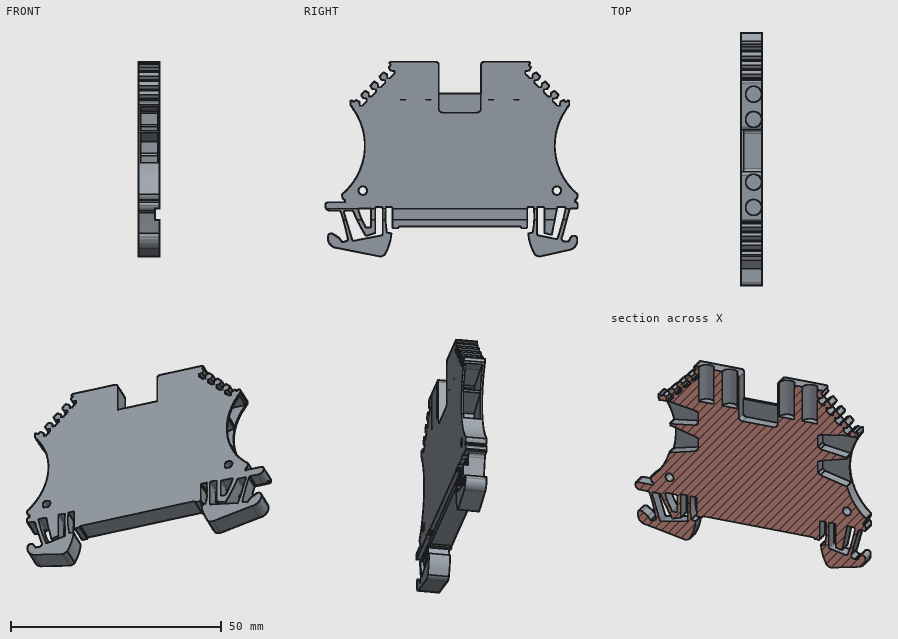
import cadquery as cq
import math

SIDES = (1, -1)

width = 5.1
height = 46.25

shelf_z = 11.75
base_z = 7.1
pad_depth = 0.35
pad_inner, pad_outer = 14.4, 16.0
edge_break = 0.25

waist_u, waist_z = 37.6, 26.35
waist_radius = 15.05
waist_top_u = 25.45
lug_u = 28.0
lug_root_u, lug_root_z = 27.3, 13.4
lip_u, lip_z_low, lip_z_high = 26.0, 36.0, 36.8

shoulder_sum = 61.85
shoulder_top_u, shoulder_bottom_u = 16.4, 25.15
comb_pitch = 2.18
comb_count = 4
first_groove_u = 17.5
groove_section = ((0, 1.4), (1.55, 1.0), (2.7, 1.9), (3.4, 1.2))

slot_half = 5.0
slot_bottom = 38.75
slot_edge_radius = 0.8
pocket_wall = 0.65
pocket_bottom = 34.2
pocket_radius = 0.85

screw_positions = (7.45, 13.45)
screw_x = 3.05
screw_radius = 1.89
screw_depth = 9.0
pin_u, pin_z, pin_diameter = 23.05, 15.65, 2.0

funnel_x = (0.55, 4.6)
funnel_mouth_u = 22.8
funnel_neck_u = 16.2
funnel_end_u = 15.6
funnel_heights = (
    ((29.9, 35.5), (30.8, 34.45), (31.25, 34.1)),
    ((22.3, 29.35), (23.95, 27.6), (24.5, 27.3)),
)

rear_groove_depth = 1.1
rear_groove_z = (8.7, 11.4)
rear_groove_reach = 36.0

clip_fillet = 0.3
leg_u = 17.5
channel_inner_u = 18.35
tongue_u = 20.05
channel_floor_z = 5.1
tongue_tip_z = 5.6


def slab(outline, side):
    """Extrude a closed (u, z) outline over the width; a pair of points is an arc (via, end)."""
    def place(point):
        return (side * point[0], point[1])

    wire = cq.Workplane("YZ").moveTo(*place(outline[0]))
    for step in outline[1:]:
        if isinstance(step[0], tuple):
            wire = wire.threePointArc(place(step[0]), place(step[1]))
        else:
            wire = wire.lineTo(*place(step))
    return wire.close().extrude(width)


def rounded_slab(outline, side):
    """Slab with all its corners rounded, used for the openings in the clips."""
    return slab(outline, side).edges("|X").fillet(clip_fillet)


def block(x_range, y_range, z_range):
    """Box given by its limits along the three axes."""
    ranges = (x_range, y_range, z_range)
    lengths = [high - low for low, high in ranges]
    corner = tuple(low for low, high in ranges)
    return cq.Workplane("XY").box(*lengths, centered=False).translate(corner)


def waist_height(u, direction):
    """Height of the waist arc at u, above (+1) or below (-1) the arc centre."""
    return waist_z + direction * math.sqrt(waist_radius**2 - (waist_u - u) ** 2)


def housing_half(side):
    """Half of the housing plate, from the mid-plane out to the waist and its lug."""
    pad_z = base_z - pad_depth
    underside = [
        (0, base_z),
        (pad_inner, base_z),
        (pad_inner + edge_break, pad_z),
        (pad_outer - edge_break, pad_z),
        (pad_outer, pad_z + edge_break),
        (pad_outer, shelf_z - edge_break),
        (pad_outer + edge_break, shelf_z),
        (lug_root_u, shelf_z),
    ]
    lug = [
        (lug_root_u, lug_root_z),
        (27.6, 13.5),
        ((27.85, 13.9), (lug_u, waist_height(lug_u, -1))),
    ]
    waist_throat = (waist_u - waist_radius, waist_z)
    waist_end = (waist_top_u, waist_height(waist_top_u, 1))
    waist = [(waist_throat, waist_end)]
    lip_mid_u = (shoulder_bottom_u + lip_u) / 2
    lip = [
        (lip_u, lip_z_low),
        (lip_u, lip_z_high),
        ((lip_u - edge_break / 2, lip_z_high + edge_break), (lip_mid_u, lip_z_high + edge_break)),
        (shoulder_bottom_u, shoulder_sum - shoulder_bottom_u),
    ]
    top = [
        (shoulder_top_u, shoulder_sum - shoulder_top_u),
        (16.75, 45.85),
        ((16.55, 46.15), (16.2, height)),
        (0, height),
    ]
    return slab(underside + lug + waist + lip + top, side)


def comb_groove(side, index):
    """Groove sunk square to the shoulder face, wider below its neck."""
    mouth_u = first_groove_u + index * comb_pitch
    mouth_z = shoulder_sum - mouth_u
    diagonal = math.sqrt(0.18)

    def point(depth, offset):
        """Point at a depth below the shoulder face and an offset down along it."""
        return (mouth_u + (offset - depth) * diagonal, mouth_z - (offset + depth) * diagonal)

    upper_flank = [point(depth, -half) for depth, half in groove_section]
    lower_flank = [point(depth, half) for depth, half in reversed(groove_section)]
    mouth_half = groove_section[0][1]
    clearance = [point(-1, mouth_half), point(-1, -mouth_half)]
    return slab(upper_flank + lower_flank + clearance, side)


def cut_slot(body):
    """Slot through the top with rounded edges, deepened behind a thin wall at -X."""
    r = slot_edge_radius
    arc_end = r * (1 - math.sqrt(0.5))
    for side in SIDES:
        body = body.cut(slab([
            (0, slot_bottom),
            (slot_half, slot_bottom),
            (slot_half, height - r),
            ((slot_half + arc_end, height - arc_end), (slot_half + r, height)),
            (0, height),
        ], side))
    pocket = block((pocket_wall, width), (-slot_half, slot_half), (pocket_bottom, slot_bottom))
    return body.cut(pocket.edges("|X and <Z").fillet(pocket_radius))


def funnel(side, heights):
    """Wire entry: long taper from the waist to the neck, then a short steep taper to its end."""
    mouth, neck, end = heights
    opening_u = lug_u
    outline = [
        (opening_u, mouth[0]), (funnel_mouth_u, mouth[0]), (funnel_neck_u, neck[0]),
        (funnel_end_u, end[0]), (funnel_end_u, end[1]), (funnel_neck_u, neck[1]),
        (funnel_mouth_u, mouth[1]), (opening_u, mouth[1]),
    ]
    limits = block(funnel_x, (-opening_u, opening_u), (0, height))
    return slab(outline, side).intersect(limits)


inner_leg_and_heel = [
    (leg_u, lug_root_z),
    (leg_u, shelf_z),
    ((17.65, 8.7), (17.3, 5.75)),
    (16.2, 5.45),
    ((16.7, 3.0), (17.75, 0.55)),
    ((18.25, 0.2), (19.0, 0)),
]


def fixed_clip():
    """Clip at +Y: slim tongue, upright hook and a short stop above the outer leg."""
    side = 1
    stop_top = 12.95
    sole_and_hook = [
        (26.3, 1.6),
        ((27.5, 2.5), (27.9, 4.1)),
        ((27.1, 5.0), (26.3, 4.5)),
        (25.8, 3.6),
        (25.25, 3.65),
    ]
    outer_leg = [
        ((24.25, 4.0), (24.35, 4.8)),
        ((25.15, 7.8), (25.9, 10.7)),
        ((26.15, 11.2), (26.6, 11.4)),
    ]
    stop = [
        (27.7, 11.4),
        ((27.9, 11.5), (lug_u, 11.7)),
        (lug_u, 12.35),
        ((27.9, 12.65), (27.6, stop_top)),
        (lug_root_u, stop_top),
        (lug_root_u, lug_root_z),
    ]
    channel = rounded_slab([
        (channel_inner_u, shelf_z),
        (channel_inner_u, channel_floor_z),
        (23.1, 4.15),
        ((24.3, 8.0), (25.15, shelf_z)),
        (23.15, shelf_z),
        (21.85, 5.1),
        (tongue_u, tongue_tip_z),
        (tongue_u, shelf_z),
    ], side)
    return slab(inner_leg_and_heel + sole_and_hook + outer_leg + stop, side), channel


def release_clip():
    """Clip at -Y: wide tongue with a window, slanted hook and a long release tab."""
    side = -1
    tab_top, tab_bottom = 12.9, 10.85
    tab_end_u = 32.0
    sole_and_hook = [
        (29.0, 2.0),
        ((30.7, 2.75), (31.3, 4.0)),
        (31.3, 4.75),
        ((30.95, 5.4), (30.2, 5.45)),
        (28.75, 4.5),
        ((28.3, 4.0), (27.9, 3.4)),
        (27.6, 3.5),
        (26.95, 3.7),
    ]
    outer_leg = [
        ((26.65, 3.9), (26.65, 4.3)),
        ((27.35, 7.45), (28.2, 10.45)),
        (28.5, tab_bottom),
    ]
    tab = [
        (30.35, tab_bottom),
        ((31.6, 11.2), (tab_end_u, 12.2)),
        ((31.75, 12.7), (31.25, tab_top)),
        (lug_root_u, tab_top),
        (lug_root_u, lug_root_z),
    ]
    channel = rounded_slab([
        (channel_inner_u, shelf_z),
        (channel_inner_u, channel_floor_z),
        (25.45, 3.7),
        (27.6, tab_bottom),
        (25.4, tab_bottom),
        ((24.0, 7.85), (22.3, 4.85)),
        (tongue_u, tongue_tip_z),
        (tongue_u, shelf_z),
    ], side)
    window = rounded_slab([
        (21.1, 11.4),
        (21.1, 6.9),
        (22.25, 6.9),
        ((23.3, 8.8), (24.2, 11.4)),
    ], side)
    return slab(inner_leg_and_heel + sole_and_hook + outer_leg + tab, side), channel.union(window)


result = housing_half(SIDES[0]).union(housing_half(SIDES[1]))
for clip, openings in (fixed_clip(), release_clip()):
    result = result.union(clip).cut(openings)

result = cut_slot(result)
for side in SIDES:
    for index in range(comb_count):
        result = result.cut(comb_groove(side, index))
    for heights in funnel_heights:
        result = result.cut(funnel(side, heights))
    for screw_u in screw_positions:
        screw_hole = cq.Workplane("XY", origin=(screw_x, side * screw_u, height))
        result = result.cut(screw_hole.circle(screw_radius).extrude(-screw_depth))
    pin_hole = cq.Workplane("YZ", origin=(0, side * pin_u, pin_z))
    result = result.cut(pin_hole.circle(pin_diameter / 2).extrude(width))

rear_groove_x = (width - rear_groove_depth, width)
rear_groove_y = (-rear_groove_reach, rear_groove_reach)
rear_groove = block(rear_groove_x, rear_groove_y, rear_groove_z)
result = result.cut(rear_groove)